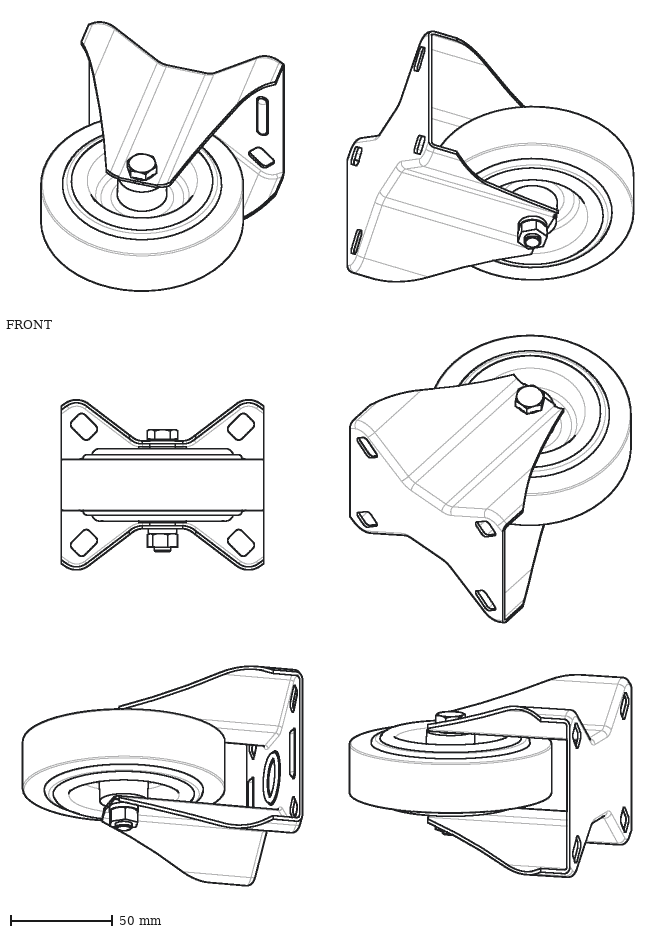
import cadquery as cq
import math


plate_back = 77.9
half_width = 50.0
sheet = 1.5

flat_half = 10.0
flat_height = 21.8
bend_radius = 7.5
crown_radius = 9.7
crown_x = 42.5
bracket_height = 84.0
edge_angle = 35.0
plate_bend_radius = 3.1

shoulder_y = 62.8
trim_mid_x = 29.4
trim_mid_y = 25.3
tip_x = 16.4
tip_y = -6.7
bend_tip_y = -6.9
flat_tip_y = -7.5

slot_x = 38.8
slot_z = 28.7
slot_length = 12.2
slot_width = 9.0
slot_corner = 2.3
slot_angle = 45.0
rib_x = 39.3
rib_straight = 20.0
rib_base_half = 3.1
ring_radius = 11.0
ring_base_half = 2.4
crest_height = 2.0
crest_foot_width = 0.83
crest_foot_height = 0.4

wheel_radius = 50.0
tread_half = 12.7
tread_edge = 0.6
rim_radius = 39.3
rim_height = 15.0
rim_round = 2.0
bead_centre_radius = 31.0
bead_top = 17.9
bead_radius = 4.1
wall_lean_angle = 23.0
web_half = 4.0
web_outer_round = 2.8
hub_radius = 11.8
hub_half = 18.8
hub_foot_radius = 12.3
hub_foot_height = 2.2
hub_round_reach = 3.2

sleeve_radius = 6.3
bolt_radius = 4.1
hex_sides = 6
across_corners = 15.1
head_height = 4.7
washer_face_radius = 6.3
washer_face_height = 0.8
washer_diameter = 14.2
washer_thickness = 2.3
hex_chamfer_angle = 30.0
nut_height = 6.7
nut_turn = -9.0
bolt_tip = 33.0
bolt_tip_chamfer = 0.6

plate_inner = plate_back - sheet
crown_height = bracket_height / 2
across_flats = across_corners * math.cos(math.pi / hex_sides)
washer_bottom = -flat_height - washer_thickness
nut_bottom = washer_bottom - nut_height
head_bottom = flat_height + washer_face_height


def wall_profile(inset):
    """Closed XZ outline of the bracket, moved inwards by `inset`."""
    bend_r = bend_radius + inset
    crown_r = crown_radius - inset
    bend_z = flat_height + bend_radius
    crown_z = crown_height - crown_radius
    run = crown_x - flat_half
    rise = crown_z - bend_z
    slope = math.asin((bend_radius + crown_radius) / math.hypot(run, rise)) + math.atan2(rise, run)
    edge = math.radians(edge_angle)

    def on_bend(angle):
        return (flat_half + bend_r * math.sin(angle), bend_z - bend_r * math.cos(angle))

    def on_crown(angle):
        return (crown_x + crown_r * math.sin(angle), crown_z + crown_r * math.cos(angle))

    run_out_x, run_out_z = on_crown(edge)
    side_z = run_out_z - (half_width - run_out_x) * math.tan(edge)

    quarter = [on_bend(0), on_bend(slope / 2), on_bend(slope),
               on_crown(-slope), on_crown(0), on_crown(edge), (half_width, side_z)]

    def trace(path, points):
        flat, bend_mid, bend_end, crown_start, crown_top, crown_end, side = points
        return (path.lineTo(*flat).threePointArc(bend_mid, bend_end).lineTo(*crown_start)
                .threePointArc(crown_top, crown_end).lineTo(*side))

    def trace_back(path, points):
        flat, bend_mid, bend_end, crown_start, crown_top, crown_end, side = points
        return (path.lineTo(*side).lineTo(*crown_end).threePointArc(crown_top, crown_start)
                .lineTo(*bend_end).threePointArc(bend_mid, flat))

    def mirrored(x_sign, z_sign):
        return [(x_sign * x, z_sign * z) for x, z in quarter]

    path = cq.Workplane("XZ").moveTo(0, flat_height - inset)
    path = trace(path, mirrored(1, 1))
    path = trace_back(path, mirrored(1, -1))
    path = trace(path, mirrored(-1, -1))
    path = trace_back(path, mirrored(-1, 1))
    return path.close()


def bent_block(inset, back):
    """Wall profile extruded forwards from y = `back`, its bends with the plate rounded."""
    length = back - flat_tip_y
    block = wall_profile(inset).extrude(length).translate((0, back, 0))
    return block.faces(">Y").edges("not |Z").fillet(plate_bend_radius - inset)


def bracket_outline():
    """Trimmed outline of both side walls seen along Z, as a tall block."""
    path = cq.Workplane("XY").moveTo(-half_width, plate_back).lineTo(half_width, plate_back)
    path = path.lineTo(half_width, shoulder_y)
    path = path.threePointArc((trim_mid_x, trim_mid_y), (tip_x, tip_y))
    path = path.lineTo(flat_half, bend_tip_y).lineTo(flat_half, flat_tip_y)
    path = path.lineTo(-flat_half, flat_tip_y).lineTo(-flat_half, bend_tip_y).lineTo(-tip_x, tip_y)
    path = path.threePointArc((-trim_mid_x, trim_mid_y), (-half_width, shoulder_y))
    return path.close().extrude(crown_height, both=True)


def mounting_slot(x_sign, z_sign):
    slot = cq.Workplane("XZ").rect(slot_length, slot_width).extrude(2 * sheet, both=True)
    slot = slot.edges("|Y").fillet(slot_corner)
    slot = slot.rotate((0, 0, 0), (0, 1, 0), -slot_angle * x_sign * z_sign)
    return slot.translate((x_sign * slot_x, plate_back, z_sign * slot_z))


def crest_section(base_half, centre_x=0):
    """Section of a rib or the ring in the XY plane, standing on y = 0 and rising towards -Y."""
    foot_half = base_half - crest_foot_width
    return (cq.Workplane("XY").moveTo(centre_x - base_half, 0).lineTo(centre_x + base_half, 0)
            .lineTo(centre_x + foot_half, -crest_foot_height)
            .threePointArc((centre_x, -crest_height), (centre_x - foot_half, -crest_foot_height))
            .close())


def domed_end():
    """Half of the rib section turned about its own centre line."""
    foot_half = rib_base_half - crest_foot_width
    dome_rise = crest_height - crest_foot_height
    dome_radius = (foot_half ** 2 + dome_rise ** 2) / (2 * dome_rise)
    mid_angle = math.asin(foot_half / dome_radius) / 2
    mid_height = crest_height - dome_radius * (1 - math.cos(mid_angle))
    half = (cq.Workplane("XY").lineTo(rib_base_half, 0)
            .lineTo(foot_half, -crest_foot_height)
            .threePointArc((dome_radius * math.sin(mid_angle), -mid_height), (0, -crest_height))
            .close())
    return half.revolve(360, (0, 0, 0), (0, 1, 0))


def plate_rib(x):
    rib = crest_section(rib_base_half).extrude(rib_straight / 2, both=True)
    rib_end = domed_end()
    for end_z in (rib_straight / 2, -rib_straight / 2):
        rib = rib.union(rib_end.translate((0, 0, end_z)))
    return rib.translate((x, plate_inner, 0))


def plate_ring():
    ring = crest_section(ring_base_half, ring_radius).revolve(360, (0, 0, 0), (0, 1, 0))
    return ring.translate((0, plate_inner, 0))


def make_bracket():
    body = bent_block(0, plate_back).cut(bent_block(sheet, plate_inner))
    body = body.intersect(bracket_outline())
    for x_sign in (1, -1):
        body = body.union(plate_rib(x_sign * rib_x))
        for z_sign in (1, -1):
            body = body.cut(mounting_slot(x_sign, z_sign))
    body = body.union(plate_ring())
    bolt_hole = cq.Workplane("XY").circle(bolt_radius).extrude(crown_height, both=True)
    return body.cut(bolt_hole)


def make_tread():
    tread = cq.Workplane("XY").workplane(offset=-tread_half).circle(wheel_radius).extrude(2 * tread_half)
    tread = tread.edges().fillet(tread_edge)
    return tread.faces(">Z").workplane().circle(rim_radius).cutThruAll()


def make_rim():
    """Rim, dished web and hub: half a radial section, revolved and mirrored in the mid plane."""
    bead_z = bead_top - bead_radius
    shoulder_drop = rim_height - bead_z
    bead_outer = bead_centre_radius + math.sqrt(bead_radius ** 2 - shoulder_drop ** 2)
    wall_lean = math.radians(wall_lean_angle)
    wall_top_r = bead_centre_radius - bead_radius * math.cos(wall_lean)
    wall_top_z = bead_z + bead_radius * math.sin(wall_lean)
    wall_foot_drop = web_outer_round * (1 - math.sin(wall_lean))
    wall_foot_z = web_half + wall_foot_drop
    wall_foot_r = wall_top_r - (wall_top_z - wall_foot_z) * math.tan(wall_lean)
    round_centre_r = wall_foot_r - web_outer_round * math.cos(wall_lean)
    round_mid = (math.radians(90) - wall_lean) / 2 + wall_lean
    diagonal = math.sqrt(0.5)

    section = (
        cq.Workplane("XZ").moveTo(sleeve_radius, 0).lineTo(rim_radius, 0)
        .lineTo(rim_radius, rim_height - rim_round)
        .threePointArc((rim_radius - rim_round * (1 - diagonal), rim_height - rim_round * (1 - diagonal)),
                       (rim_radius - rim_round, rim_height))
        .lineTo(bead_outer, rim_height)
        .threePointArc((bead_centre_radius, bead_top), (wall_top_r, wall_top_z))
        .lineTo(wall_foot_r, wall_foot_z)
        .threePointArc((round_centre_r + web_outer_round * math.cos(round_mid),
                        web_half + web_outer_round * (1 - math.sin(round_mid))),
                       (round_centre_r, web_half))
        .lineTo(hub_foot_radius + hub_round_reach, web_half)
        .tangentArcPoint((hub_foot_radius, web_half + hub_foot_height), relative=False)
        .lineTo(hub_radius, hub_half)
        .lineTo(sleeve_radius, hub_half)
        .close()
    )
    half = section.revolve(360, (0, 0, 0), (0, 1, 0))
    return half.union(half.mirror("XY"))


def make_sleeve():
    length = flat_height - sheet
    return cq.Workplane("XY").circle(sleeve_radius).circle(bolt_radius).extrude(length, both=True)


def chamfered_hexagon(height):
    """Hexagonal prism from z = 0, the corners of its top face turned off."""
    prism = cq.Workplane("XY").polygon(hex_sides, across_corners).extrude(height)
    corner_drop = (across_corners - across_flats) / 2 * math.tan(math.radians(hex_chamfer_angle))
    cone = (cq.Workplane("XZ").lineTo(across_corners / 2, 0)
            .lineTo(across_corners / 2, height - corner_drop)
            .lineTo(across_flats / 2, height).lineTo(0, height).close()
            .revolve(360, (0, 0, 0), (0, 1, 0)))
    return prism.intersect(cone)


def make_bolt():
    head = chamfered_hexagon(head_height).translate((0, 0, head_bottom))
    washer_face = cq.Workplane("XY").workplane(offset=flat_height).circle(washer_face_radius)
    washer_face = washer_face.extrude(washer_face_height)
    shank = cq.Workplane("XY").workplane(offset=-bolt_tip).circle(bolt_radius)
    shank = shank.extrude(bolt_tip + flat_height).faces("<Z").edges().chamfer(bolt_tip_chamfer)
    return shank.union(washer_face).union(head)


def make_washer():
    ring = cq.Workplane("XY").workplane(offset=washer_bottom).circle(washer_diameter / 2).circle(bolt_radius)
    return ring.extrude(washer_thickness)


def make_nut():
    nut = chamfered_hexagon(nut_height).faces(">Z").workplane().circle(bolt_radius).cutThruAll()
    return nut.rotate((0, 0, 0), (0, 0, 1), nut_turn).translate((0, 0, nut_bottom))


bodies = [
    make_bracket(),
    make_tread(),
    make_rim(),
    make_sleeve(),
    make_bolt(),
    make_washer(),
    make_nut(),
]

result = cq.Compound.makeCompound([body.solids().val() for body in bodies])